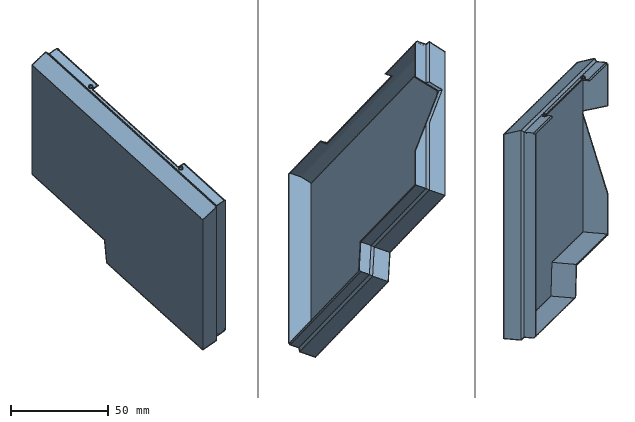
import cadquery as cq

LENGTH = 133.3
DEPTH = 16.7
HEIGHT = 112.6

BODY_DEPTH = 9.3
TOP_SLOPE_DROP = 2.9

STEP_HEIGHT = 17.6
STEP_TOP_X = 56.5
STEP_BOTTOM_X = 58.2

RIM_INSET = 1.27
RIM_START = BODY_DEPTH + RIM_INSET
RIM_TOP = HEIGHT - RIM_INSET
RIM_CHAMFER = 0.9

RIM_WALL = 0.7
FRONT_WALL = 3.6
CAVITY_INSET = RIM_INSET + RIM_WALL
CAVITY_TOP = HEIGHT - CAVITY_INSET

OPENING_WIDTH = 67.2
OPENING_START = 12.3

BUMP_BASE_RADIUS = 1.13
BUMP_BASE_HEIGHT = 0.47
BUMP_CONE_RADIUS = 0.9
BUMP_TIP_RADIUS = 0.33
BUMP_OVERLAP = 0.3
BUMP_Y = 12.5
BUMP_EDGE_GAP = 0.33
BUMP_SPACING = OPENING_WIDTH + 2 * (BUMP_BASE_RADIUS + BUMP_EDGE_GAP)

NOTCH_TOP_Z = 88.2
NOTCH_BOTTOM_Z = 41.2
NOTCH_APEX_Y = 2.9
NOTCH_APEX_Z = 84.2
NOTCH_FLARE_Y = 1.27
NOTCH_FLARE_TOP = 0.8
NOTCH_FLARE_BOTTOM = 4.1
NOTCH_FLARE_APEX = 0.47


def outline(y, inset, top_z):
    """Stepped outline at depth y, inset on all sides and closed at top_z."""
    lean = (STEP_TOP_X - STEP_BOTTOM_X) / STEP_HEIGHT
    step_z = STEP_HEIGHT + inset
    lower_x = STEP_BOTTOM_X + inset + lean * inset
    upper_x = STEP_BOTTOM_X + inset + lean * step_z
    corners = [
        (inset, step_z),
        (upper_x, step_z),
        (lower_x, inset),
        (LENGTH - inset, inset),
        (LENGTH - inset, top_z),
        (inset, top_z),
    ]
    return cq.Wire.makePolygon([cq.Vector(x, y, z) for x, z in corners], close=True)


def layer(y_front, top_front, inset_front, y_back, top_back, inset_back):
    """Solid between two stepped outlines."""
    front = outline(y_front, inset_front, top_front)
    back = outline(y_back, inset_back, top_back)
    return cq.Workplane(cq.Solid.makeLoft([front, back], True))


def side_profile(points, x_start, x_end):
    """Prism along X from a list of (y, z) points."""
    return cq.Workplane("YZ", origin=(x_start, 0, 0)).polyline(points).close().extrude(x_end - x_start)


def make_shell():
    body = layer(0, HEIGHT - TOP_SLOPE_DROP, 0, BODY_DEPTH, HEIGHT, 0)
    bevel = layer(BODY_DEPTH, HEIGHT, 0, RIM_START, RIM_TOP, RIM_INSET)
    rim = layer(RIM_START, RIM_TOP, RIM_INSET, DEPTH, RIM_TOP, RIM_INSET)
    floor_drop = TOP_SLOPE_DROP * (1 - FRONT_WALL / BODY_DEPTH)
    cavity_front = layer(
        FRONT_WALL, CAVITY_TOP - floor_drop, CAVITY_INSET, BODY_DEPTH, CAVITY_TOP, CAVITY_INSET
    )
    cavity_back = layer(BODY_DEPTH, CAVITY_TOP, CAVITY_INSET, DEPTH, CAVITY_TOP, CAVITY_INSET)
    return body.union(bevel).union(rim).cut(cavity_front).cut(cavity_back)


def rim_chamfer(edge_z, inward):
    """Wedge along a back edge of the rim; inward is the Z direction into the part."""
    corner = (DEPTH, edge_z)
    on_wall = (DEPTH - RIM_CHAMFER, edge_z)
    on_back = (DEPTH, edge_z + inward * RIM_CHAMFER)
    return side_profile([corner, on_wall, on_back], 0, LENGTH)


def top_opening():
    start = (LENGTH - OPENING_WIDTH) / 2
    return cq.Workplane("XY").box(
        OPENING_WIDTH, DEPTH - OPENING_START, HEIGHT - CAVITY_TOP, centered=False
    ).translate((start, OPENING_START, CAVITY_TOP))


def notch_wire(x, flare):
    """Triangular notch section at x; flare is 1 at the outer face and 0 inside."""
    corners = [
        (DEPTH, NOTCH_TOP_Z + flare * NOTCH_FLARE_TOP),
        (NOTCH_APEX_Y - flare * NOTCH_FLARE_Y, NOTCH_APEX_Z + flare * NOTCH_FLARE_APEX),
        (DEPTH, NOTCH_BOTTOM_Z - flare * NOTCH_FLARE_BOTTOM),
    ]
    return cq.Wire.makePolygon([cq.Vector(x, y, z) for y, z in corners], close=True)


def side_notch():
    mouth, throat, inner = notch_wire(0, 1), notch_wire(RIM_INSET, 0), notch_wire(CAVITY_INSET, 0)
    flared = cq.Workplane(cq.Solid.makeLoft([mouth, throat], True))
    straight = cq.Workplane(cq.Solid.makeLoft([throat, inner], True))
    return flared.union(straight)


def bump(x):
    cone_start = RIM_TOP + BUMP_BASE_HEIGHT
    disc = cq.Solid.makeCylinder(
        BUMP_BASE_RADIUS, BUMP_OVERLAP + BUMP_BASE_HEIGHT, cq.Vector(x, BUMP_Y, RIM_TOP - BUMP_OVERLAP)
    )
    cone = cq.Solid.makeCone(
        BUMP_CONE_RADIUS, BUMP_TIP_RADIUS, HEIGHT - cone_start, cq.Vector(x, BUMP_Y, cone_start)
    )
    return cq.Workplane(disc).union(cq.Workplane(cone))


result = make_shell()
result = result.cut(rim_chamfer(RIM_TOP, -1)).cut(rim_chamfer(RIM_INSET, 1))
result = result.cut(top_opening()).cut(side_notch())
for side in (-1, 1):
    result = result.union(bump(LENGTH / 2 + side * BUMP_SPACING / 2))